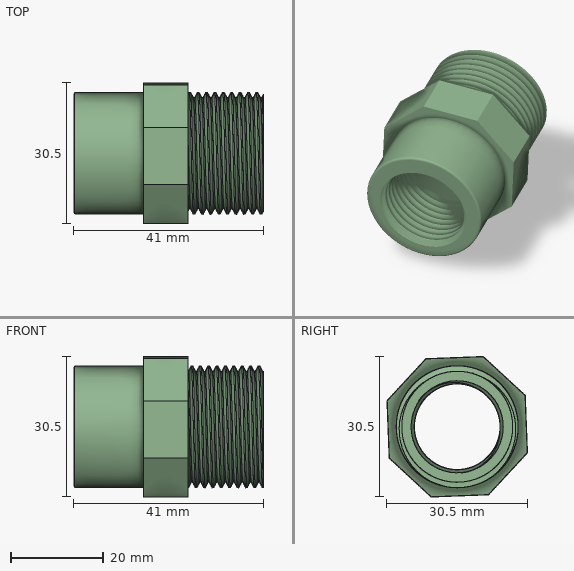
import cadquery as cq

total_length = 41.0
socket_length = 15.0
grip_end = 24.72
socket_diameter = 26.45
socket_edge_radius = 0.5
grip_across_flats = 30.0
grip_tilt = 2.2
grip_sides = 8

gauge_length = 25.4
gauge_turns = 14
pitch = gauge_length / gauge_turns
tooth_depth = 1.2
crest_width = 0.3
root_width = 0.3

outer_thread_diameter = 26.45
spigot_diameter = outer_thread_diameter - 2 * tooth_depth
outer_crest_x = 26.45

inner_thread_diameter = 20.95
inner_thread_depth = 16.0
inner_crest_x = 0.85
through_diameter = 19.95


def cylinder(diameter, start, end):
    """Solid cylinder on the X axis between two X positions."""
    return cq.Workplane("YZ", origin=(start, 0, 0)).circle(diameter / 2).extrude(end - start)


def make_housing():
    """Socket, grip and spigot in one piece, with a stepped bore."""
    socket = cylinder(socket_diameter, 0, socket_length).faces("<X").edges().fillet(socket_edge_radius)
    grip = (
        cq.Workplane("YZ", origin=(socket_length, 0, 0))
        .polygon(grip_sides, grip_across_flats, circumscribed=True)
        .extrude(grip_end - socket_length)
        .rotate((0, 0, 0), (1, 0, 0), grip_tilt)
    )
    spigot = cylinder(spigot_diameter, grip_end, total_length)
    return (
        socket.union(grip)
        .union(spigot)
        .cut(cylinder(inner_thread_diameter, 0, inner_thread_depth))
        .cut(cylinder(through_diameter, 0, total_length))
    )


def make_thread(root_radius, crest_radius, crest_x, start, end):
    """Helical tooth about X, trimmed flat at its start and end."""
    base_width = pitch - root_width
    lead_in_turns = (crest_x - start) // pitch + 2
    helix_start = crest_x - lead_in_turns * pitch
    helix_length = end + 2 * pitch - helix_start

    def helix(radius, offset):
        return cq.Wire.makeHelix(pitch, helix_length, radius).translate(cq.Vector(0, 0, offset))

    rails = [
        helix(root_radius, -base_width / 2),
        helix(crest_radius, -crest_width / 2),
        helix(crest_radius, crest_width / 2),
        helix(root_radius, base_width / 2),
    ]
    faces = []
    for rail, next_rail in zip(rails, rails[1:] + rails[:1]):
        faces.extend(cq.Face.makeRuledSurface(rail, next_rail).Faces())
    for position in (0, 1):
        corners = [rail.positionAt(position) for rail in rails]
        faces.append(cq.Face.makeFromWires(cq.Wire.makePolygon(corners, close=True)))

    tooth = cq.Solid.makeSolid(cq.Shell.makeShell(faces))
    tooth = cq.Workplane(tooth).rotate((0, 0, 0), (0, 1, 0), 90).translate((helix_start, 0, 0))
    trim = cylinder(socket_diameter + 2 * tooth_depth, start, end)
    return tooth.intersect(trim)


housing = make_housing()

outer_thread = make_thread(
    spigot_diameter / 2, outer_thread_diameter / 2, outer_crest_x, grip_end, total_length
)

inner_root_radius = inner_thread_diameter / 2
inner_thread = make_thread(
    inner_root_radius, inner_root_radius - tooth_depth, inner_crest_x, 0, inner_thread_depth
)

result = cq.Compound.makeCompound(
    [housing.solids().val(), outer_thread.solids().val(), inner_thread.solids().val()]
)